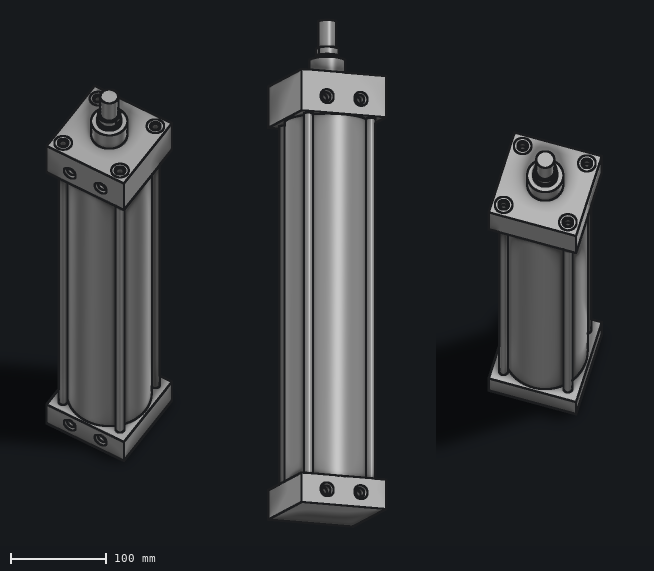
import cadquery as cq
import math

block_width = 95.5
cap_height = 31.5
head_height = 44.5
head_top = 463.5
head_bottom = head_top - head_height

gland_diameter = 69.5
boss_diameter = 38.0
boss_height = 22.0
boss_top = head_top + boss_height

barrel_diameter = 89.0

tie_rod_diameter = 9.5
tie_rod_spacing = 70.0
nut_diameter = 18.5
nut_height = 16.0
nut_bottom = head_top - nut_height
nut_hole_diameter = 8.5
nut_hole_mouth = 11.0
nut_hole_depth = 10.5

mount_spacing = 38.0
mount_diameter = 9.5
mount_mouth = 15.0
mount_depth = 12.5
head_mount_z = 436.5
cap_mount_z = 16.0

drill_point_angle = 118

overall_height = 527.0
rod_diameter = 25.5
shank_diameter = 23.5
shank_bottom = 490.0
step_height = 1.5
step_bottom = shank_bottom - step_height
flat_width = 22.0
thread_diameter = 19.0
thread_length = 29.0
thread_bottom = overall_height - thread_length


def cylinder(diameter, bottom, top):
    return cq.Workplane("XY", origin=(0, 0, bottom)).circle(diameter / 2).extrude(top - bottom)


def block(bottom, height):
    return cq.Workplane("XY", origin=(0, 0, bottom)).rect(block_width, block_width).extrude(height)


def drilled_hole(diameter, mouth, depth):
    """Blind hole going down from the origin, with a 45 degree mouth and a conical bottom."""
    radius = diameter / 2
    mouth_radius = mouth / 2
    mouth_depth = mouth_radius - radius
    tip_depth = depth + radius / math.tan(math.radians(drill_point_angle / 2))
    outline = [(0, 0), (mouth_radius, 0), (radius, -mouth_depth), (radius, -depth), (0, -tip_depth)]
    return cq.Workplane("XZ").polyline(outline).close().revolve(360, (0, 0), (0, 1))


def cut_mount_holes(end_block, height):
    """Cut the pair of mounting holes into the -Y side of an end block."""
    hole = drilled_hole(mount_diameter, mount_mouth, mount_depth).rotate((0, 0, 0), (1, 0, 0), 90)
    for x in (-mount_spacing / 2, mount_spacing / 2):
        end_block = end_block.cut(hole.translate((x, -block_width / 2, height)))
    return end_block


def tie_rod_places():
    half = tie_rod_spacing / 2
    return [(x, y, 0) for x in (-half, half) for y in (-half, half)]


def tie_rod():
    """One tie rod with its nut, standing on the cap, before its end is drilled."""
    return cylinder(tie_rod_diameter, cap_height, head_top).union(cylinder(nut_diameter, nut_bottom, head_top))


def make_cap():
    """Rear end block together with the four tie rods and their drilled nuts."""
    cap = cut_mount_holes(block(0, cap_height), cap_mount_z)
    nut_hole = drilled_hole(nut_hole_diameter, nut_hole_mouth, nut_hole_depth).translate((0, 0, head_top))
    drilled_rod = tie_rod().cut(nut_hole)
    for place in tie_rod_places():
        cap = cap.union(drilled_rod.translate(place))
    return cap


def make_head():
    """Front end block with the rod gland, bored for the piston rod and recessed for tie rods and nuts."""
    head = cut_mount_holes(block(head_bottom, head_height), head_mount_z)
    for place in tie_rod_places():
        head = head.cut(tie_rod().translate(place))
    head = head.cut(cylinder(gland_diameter, head_bottom, head_top))
    gland = cylinder(gland_diameter, head_bottom, head_top).union(cylinder(boss_diameter, head_top, boss_top))
    gland = gland.cut(cylinder(rod_diameter, head_bottom, boss_top))
    return head.union(gland, clean=False)


def make_barrel():
    return cylinder(barrel_diameter, cap_height, head_bottom)


def make_rod():
    outline = [
        (0, head_bottom),
        (rod_diameter / 2, head_bottom),
        (rod_diameter / 2, step_bottom),
        (shank_diameter / 2, shank_bottom),
        (shank_diameter / 2, thread_bottom),
        (thread_diameter / 2, thread_bottom),
        (thread_diameter / 2, overall_height),
        (0, overall_height),
    ]
    rod = cq.Workplane("XZ").polyline(outline).close().revolve(360, (0, 0), (0, 1))
    shank_length = thread_bottom - shank_bottom
    between_flats = cq.Workplane("XY", origin=(0, 0, shank_bottom)).rect(flat_width, rod_diameter)
    outside_flats = cylinder(rod_diameter, shank_bottom, thread_bottom).cut(between_flats.extrude(shank_length))
    return rod.cut(outside_flats)


cap = make_cap()
head = make_head()
barrel = make_barrel()
rod = make_rod()

bodies = [cap, head, barrel, rod]
result = cq.Compound.makeCompound([body.solids().val() for body in bodies])